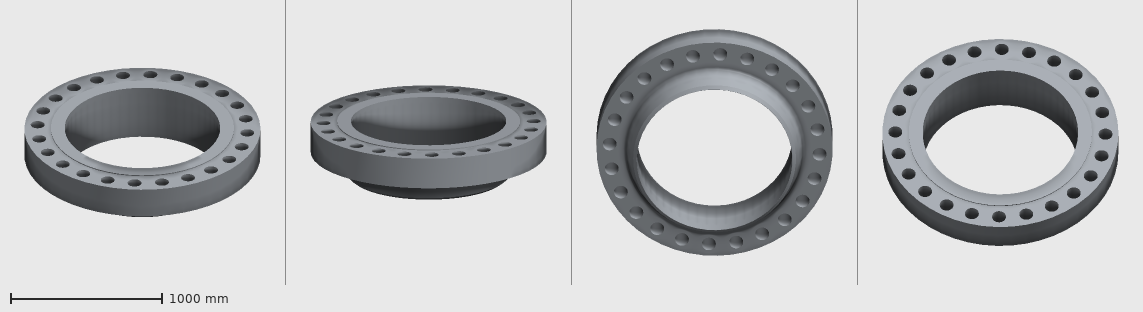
import cadquery as cq
import math

INCH = 25.4

flange_diameter = 61.5 * INCH
overall_height = 14.875 * INCH
flange_thickness = 8.125 * INCH

raised_face_diameter = 47.75 * INCH
raised_face_height = 0.25 * INCH

bolt_count = 24
bolt_circle_diameter = 54.75 * INCH
bolt_hole_diameter = 3.625 * INCH

bore_diameter = 40.5 * INCH
hub_base_diameter = 46.25 * INCH
hub_end_diameter = 1077.0
hub_fillet_radius = 0.75 * INCH
bevel_angle = 37.5
weld_land_width = 1.6

ring_top = overall_height - raised_face_height
ring_bottom = ring_top - flange_thickness

bore_radius = bore_diameter / 2
land_radius = bore_radius + weld_land_width
hub_base_radius = hub_base_diameter / 2
hub_end_radius = hub_end_diameter / 2
bevel_height = (hub_end_radius - land_radius) * math.tan(math.radians(bevel_angle))


def flange_body():
    """Revolve the half section of the ring, hub and bore about Z."""
    flange_radius = flange_diameter / 2
    raised_face_radius = raised_face_diameter / 2
    section = [
        (bore_radius, 0),
        (land_radius, 0),
        (hub_end_radius, bevel_height),
        (hub_base_radius, ring_bottom),
        (flange_radius, ring_bottom),
        (flange_radius, ring_top),
        (raised_face_radius, ring_top),
        (raised_face_radius, overall_height),
        (bore_radius, overall_height),
    ]
    return cq.Workplane("XZ").polyline(section).close().revolve(360, (0, 0), (0, 1))


def fillet_hub_base(body):
    """Round the inside corner where the hub meets the underside of the ring."""
    corner = [
        edge
        for edge in body.edges("%CIRCLE").vals()
        if math.isclose(edge.Center().z, ring_bottom) and math.isclose(edge.radius(), hub_base_radius)
    ]
    return body.newObject(corner).fillet(hub_fillet_radius)


def bolt_holes():
    """Cylinders through the ring, evenly spaced from the +X axis."""
    return (
        cq.Workplane("XY", origin=(0, 0, ring_bottom))
        .polarArray(bolt_circle_diameter / 2, 0, 360, bolt_count)
        .circle(bolt_hole_diameter / 2)
        .extrude(flange_thickness)
    )


result = fillet_hub_base(flange_body()).cut(bolt_holes())